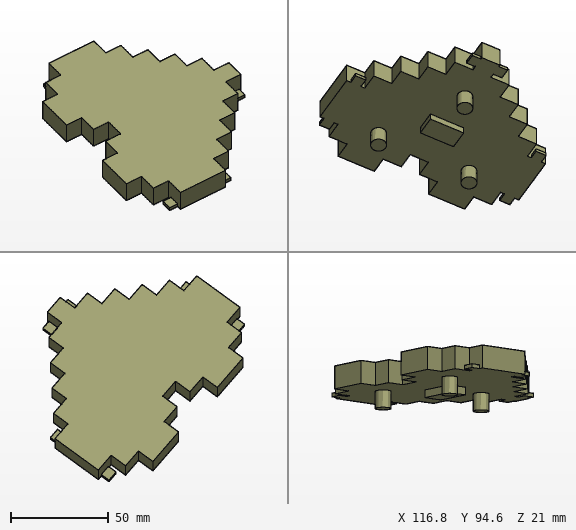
import cadquery as cq

length_x = 116.8
length_y = 94.6
total_height = 21.0
columns = 11
rows = 10
cell_x = length_x / columns
cell_y = length_y / rows
plate_thickness = 12.0

tab_width = 6.0
tab_reach = 5.0
tab_thickness = 2.0
side_tab_inset = 2.5
tip_tab_inset = 1.0

pin_diameter = 8.2
pin_length = total_height - plate_thickness
lobe_pin_x = 2.5 * cell_x
lobe_pin_y = 2.5 * cell_y
tip_pin_y = 67.0
block_x = 19.5
block_y = 10.7
block_height = 4.0
block_center_y = 42.8

wide_row_start = 2
wide_row_end = 5


def make_plate():
    """Right half of the heart as grid corners from the notch to the tip, then mirrored in X."""
    corners = [
        (0, wide_row_start),
        (0.5, wide_row_start),
        (0.5, 1),
        (1.5, 1),
        (1.5, 0),
        (3.5, 0),
        (3.5, 1),
        (4.5, 1),
        (4.5, wide_row_start),
    ]
    half_width = columns / 2
    corners.append((half_width, wide_row_start))
    for row in range(wide_row_end, rows):
        corners.append((half_width, row))
        half_width -= 1
        corners.append((half_width, row))
    corners += [(half_width, rows), (0, rows)]

    points = [(column * cell_x, row * cell_y) for column, row in corners]
    half = cq.Workplane("XY").polyline(points).close().extrude(plate_thickness)
    return half.union(half.mirror("YZ")).clean()


def make_tab(size_x, size_y, center_x, center_y):
    """Flat tab resting on the underside plane."""
    tab = cq.Workplane("XY").box(size_x, size_y, tab_thickness, centered=(True, True, False))
    return tab.translate((center_x, center_y, 0))


def add_tabs(body):
    """Three tabs on each side: two at the wide rows and one at the tip."""
    side_tab_x = length_x / 2 - side_tab_inset - tab_width / 2
    lower_tab_y = wide_row_start * cell_y - tab_reach / 2
    upper_tab_y = wide_row_end * cell_y + tab_reach / 2
    tip_tab_x = cell_x / 2 + tab_reach / 2
    tip_tab_y = length_y - tip_tab_inset - tab_width / 2
    for side in (-1, 1):
        for tab_y in (lower_tab_y, upper_tab_y):
            body = body.union(make_tab(tab_width, tab_reach, side * side_tab_x, tab_y))
        body = body.union(make_tab(tab_reach, tab_width, side * tip_tab_x, tip_tab_y))
    return body


def make_pins():
    """Three pins in a triangle: one in each lobe and one towards the tip."""
    centers = [(-lobe_pin_x, lobe_pin_y), (lobe_pin_x, lobe_pin_y), (0, tip_pin_y)]
    return cq.Workplane("XY").pushPoints(centers).circle(pin_diameter / 2).extrude(-pin_length)


def make_block():
    """Rectangular block in the middle of the underside."""
    return cq.Workplane("XY").center(0, block_center_y).rect(block_x, block_y).extrude(-block_height)


result = add_tabs(make_plate()).union(make_pins()).union(make_block())